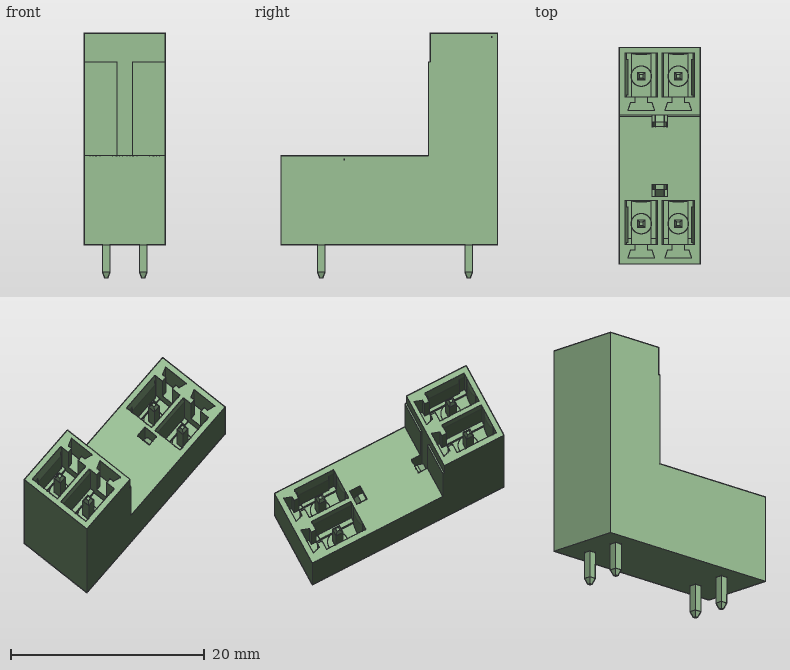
import cadquery as cq

WIDTH = 8.4
LENGTH = 22.4
OVERALL_HEIGHT = 25.3
PIN_TAIL = 3.45
TOWER_TOP = OVERALL_HEIGHT - PIN_TAIL
BLOCK_TOP = 9.2
BACK = LENGTH / 2
FRONT = -LENGTH / 2

HEAD_DEPTH = 6.98
HEAD_FRONT = BACK - HEAD_DEPTH
HEAD_HEIGHT = 2.95
PAD_THICKNESS = 0.18
GROOVE_WIDTH = 1.57

PIN_PITCH = 3.82
ROW_PITCH = 15.23
PIN_COLUMNS = (-PIN_PITCH / 2, PIN_PITCH / 2)
BACK_ROW_INSET = 2.99
BACK_ROW = BACK - BACK_ROW_INSET
FRONT_ROW = BACK_ROW - ROW_PITCH

CAVITY_DEPTH = 6.83
CAVITY_HALF_WIDTH = 1.67
CAVITY_BACK = 2.4
CAVITY_FRONT = -2.18
LEAD_SLOPE = 0.14
WALL_INSET = 0.15
RIB_INSET = 0.28
LEAD_DEPTH = RIB_INSET / LEAD_SLOPE
RIB_BACK = 1.75
RIB_FRONT = -1.92
BULGE_HALF_WIDTH = 1.0
BULGE_EDGE = 0.05
BULGE_HEIGHT = 0.18

LEDGE_HEIGHT = 0.5
LEDGE_STEP = 0.25
LEDGE_STEP_FRONT = -1.55

KEYWAY_DEPTH = 5.05
NECK_HALF_WIDTH = 0.65
NECK_LENGTH = 0.55
DOVETAIL_INNER_HALF_WIDTH = 1.11
DOVETAIL_OUTER_HALF_WIDTH = 1.4
DOVETAIL_LENGTH = 0.83

PIN_SIZE = 0.8
PIN_TIP_SIZE = 0.33
PIN_TIP_LENGTH = 0.63
PIN_RECESS = 1.45
COLLAR_DIAMETER = 2.1
COLLAR_THICKNESS = 0.75

SLOT_LENGTH = 1.21
SLOT_OUTER_Y = HEAD_FRONT
SLOT_INNER_Y = SLOT_OUTER_Y - SLOT_LENGTH
CHANNEL_FLOOR = BLOCK_TOP - CAVITY_DEPTH
BRIDGE_THICKNESS = 0.73
BAR_HEIGHT = 5.05
BAR_TOP = CHANNEL_FLOOR + BAR_HEIGHT
BAR_TOP_WIDTH = 0.83
BAR_BASE_WIDTH = 1.37
RAMP_LENGTH = 0.73
RAMP_DROP = 1.0
BAR_END_Y = SLOT_OUTER_Y - RAMP_LENGTH
TONGUE_TOP_WIDTH = BAR_TOP_WIDTH
TONGUE_BASE_WIDTH = 0.95


def box(x_range, y_range, z_range):
    """A box given by its limits along each axis."""
    size = [high - low for low, high in (x_range, y_range, z_range)]
    corner = (x_range[0], y_range[0], z_range[0])
    return cq.Workplane("XY").box(*size, centered=False).translate(corner)


def frustum(bottom_size, top_size, bottom, top):
    """A square-section frustum between two heights."""
    base = cq.Workplane("XY").workplane(offset=bottom).rect(bottom_size, bottom_size)
    return base.workplane(offset=top - bottom).rect(top_size, top_size).loft()


def shell_body():
    """The L-shaped block with the pads and groove on the front of its tower."""
    half_width = WIDTH / 2
    full_x = (-half_width, half_width)
    pad_y = (HEAD_FRONT - PAD_THICKNESS, HEAD_FRONT)
    pad_z = (BLOCK_TOP, TOWER_TOP - HEAD_HEIGHT)
    body = box(full_x, (FRONT, BACK), (0, BLOCK_TOP))
    body = body.union(box(full_x, (HEAD_FRONT, BACK), (0, TOWER_TOP)))
    body = body.union(box((-half_width, -GROOVE_WIDTH / 2), pad_y, pad_z))
    return body.union(box((GROOVE_WIDTH / 2, half_width), pad_y, pad_z))


def side_lead_in():
    """The mouth of a cavity, narrowing in X with depth."""
    bottom_half_width = CAVITY_HALF_WIDTH - RIB_INSET
    return (
        cq.Workplane("XZ", origin=(0, CAVITY_BACK, 0))
        .moveTo(-CAVITY_HALF_WIDTH, 0)
        .lineTo(CAVITY_HALF_WIDTH, 0)
        .lineTo(bottom_half_width, -LEAD_DEPTH)
        .lineTo(-bottom_half_width, -LEAD_DEPTH)
        .close()
        .extrude(CAVITY_BACK - CAVITY_FRONT)
    )


def back_lead_in():
    """The sloping face that bevels the top of the back-wall bulge."""
    return (
        cq.Workplane("YZ")
        .moveTo(0, 0)
        .lineTo(CAVITY_BACK, 0)
        .lineTo(CAVITY_BACK - RIB_INSET, -LEAD_DEPTH)
        .lineTo(0, -LEAD_DEPTH)
        .close()
        .extrude(BULGE_HALF_WIDTH, both=True)
    )


def back_bulge():
    """The shallow rounded swelling on the back wall."""
    edge_y = CAVITY_BACK - BULGE_EDGE
    return (
        cq.Workplane("XY")
        .moveTo(-BULGE_HALF_WIDTH, CAVITY_BACK)
        .lineTo(-BULGE_HALF_WIDTH, edge_y)
        .threePointArc((0, CAVITY_BACK - BULGE_HEIGHT), (BULGE_HALF_WIDTH, edge_y))
        .lineTo(BULGE_HALF_WIDTH, CAVITY_BACK)
        .close()
        .extrude(-CAVITY_DEPTH)
    )


def keyway():
    """The neck and dovetail in front of a cavity."""
    neck_end = CAVITY_FRONT - NECK_LENGTH
    dovetail_end = neck_end - DOVETAIL_LENGTH
    right_side = [
        (NECK_HALF_WIDTH, CAVITY_FRONT),
        (NECK_HALF_WIDTH, neck_end),
        (DOVETAIL_INNER_HALF_WIDTH, neck_end),
        (DOVETAIL_OUTER_HALF_WIDTH, dovetail_end),
    ]
    left_side = [(-x, y) for x, y in reversed(right_side)]
    return cq.Workplane("XY").polyline(right_side + left_side).close().extrude(-KEYWAY_DEPTH)


def cavity(stepped_ledges):
    """Space of one plug cavity, its mouth at Z = 0, its pin on the Z axis, its outer wall at -X."""
    wall = CAVITY_HALF_WIDTH - WALL_INSET
    rib_x = (-wall, RIB_INSET - CAVITY_HALF_WIDTH)
    full_y = (CAVITY_FRONT, CAVITY_BACK)
    ledge_top = LEDGE_HEIGHT - CAVITY_DEPTH
    space = box((-wall, wall), full_y, (-CAVITY_DEPTH, 0))
    for ledge_x in ((-wall, -BULGE_HALF_WIDTH), (BULGE_HALF_WIDTH, wall)):
        space = space.cut(box(ledge_x, full_y, (-CAVITY_DEPTH, ledge_top)))
        if stepped_ledges:
            step_y = (CAVITY_FRONT, LEDGE_STEP_FRONT)
            step = box(ledge_x, step_y, (ledge_top - LEDGE_STEP, ledge_top))
            space = space.union(step)
    space = space.cut(box(rib_x, (RIB_FRONT, RIB_BACK), (-CAVITY_DEPTH, 0)))
    space = space.union(side_lead_in()).cut(back_bulge())
    return space.union(back_lead_in()).union(keyway())


def tapered_bar(half_length, base_width, top_width):
    """A bar along Y on the channel floor, narrowing towards its top."""
    return (
        cq.Workplane("XZ", origin=(0, half_length, CHANNEL_FLOOR))
        .moveTo(-base_width / 2, 0)
        .lineTo(base_width / 2, 0)
        .lineTo(top_width / 2, BAR_HEIGHT)
        .lineTo(-top_width / 2, BAR_HEIGHT)
        .close()
        .extrude(2 * half_length)
    )


def locking_bar():
    """A tapered bar with a narrower tongue at each end, its top sloping down and outward."""
    ramp = (
        cq.Workplane("YZ")
        .moveTo(BAR_END_Y, BAR_TOP)
        .lineTo(SLOT_OUTER_Y, BAR_TOP)
        .lineTo(SLOT_OUTER_Y, BAR_TOP - RAMP_DROP)
        .close()
        .extrude(TONGUE_BASE_WIDTH, both=True)
    )
    tongues = tapered_bar(SLOT_OUTER_Y, TONGUE_BASE_WIDTH, TONGUE_TOP_WIDTH)
    tongues = tongues.cut(ramp).cut(ramp.mirror("XZ"))
    return tapered_bar(BAR_END_Y, BAR_BASE_WIDTH, BAR_TOP_WIDTH).union(tongues)


def bar_channel():
    """The channel for the locking bar, bridged over between its two slots."""
    channel_x = (-GROOVE_WIDTH / 2, GROOVE_WIDTH / 2)
    channel = box(channel_x, (-SLOT_OUTER_Y, SLOT_OUTER_Y), (CHANNEL_FLOOR, BLOCK_TOP))
    bridge_z = (BLOCK_TOP - BRIDGE_THICKNESS, BLOCK_TOP)
    return channel.cut(box(channel_x, (-SLOT_INNER_Y, SLOT_INNER_Y), bridge_z))


def pin(mouth):
    """One pin on the Z axis for a cavity whose mouth is at the given height."""
    top = mouth - PIN_RECESS
    shank_bottom = PIN_TIP_LENGTH - PIN_TAIL
    shank_top = top - PIN_TIP_LENGTH
    floor = mouth - CAVITY_DEPTH
    collar = (
        cq.Workplane("XY", origin=(0, 0, floor - COLLAR_THICKNESS))
        .circle(COLLAR_DIAMETER / 2)
        .extrude(COLLAR_THICKNESS)
    )
    return (
        frustum(PIN_SIZE, PIN_SIZE, shank_bottom, shank_top)
        .union(frustum(PIN_TIP_SIZE, PIN_SIZE, -PIN_TAIL, shank_bottom))
        .union(frustum(PIN_SIZE, PIN_TIP_SIZE, shank_top, top))
        .union(collar)
    )


housing = shell_body()
pins = []
for row_y, mouth_height, stepped in ((BACK_ROW, TOWER_TOP, False), (FRONT_ROW, BLOCK_TOP, True)):
    for column_x in PIN_COLUMNS:
        space = cavity(stepped)
        if column_x > 0:
            space = space.mirror("YZ")
        placed_pin = pin(mouth_height).translate((column_x, row_y, 0))
        housing = housing.cut(space.translate((column_x, row_y, mouth_height))).cut(placed_pin)
        pins.append(placed_pin)

bar = locking_bar()
housing = housing.cut(bar_channel())

result = cq.Compound.makeCompound([housing.val(), bar.val(), *[one_pin.val() for one_pin in pins]])